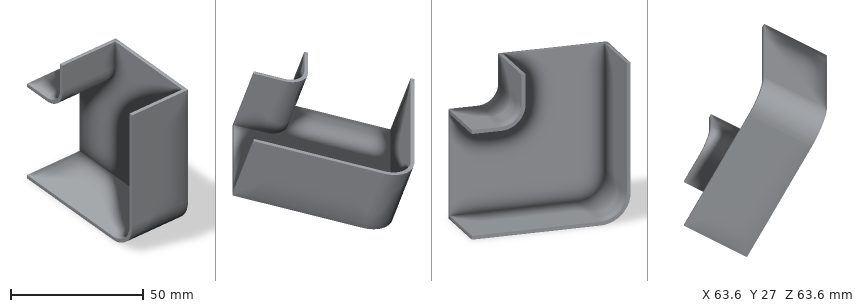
import cadquery as cq

side = 63.6
depth = 27.0
wall = 1.5
channel_width = 43.6
heel_radius = 12.0
throat_radius = 8.0

notch = side - channel_width


def elbow(inset, front_y, back_y):
    """L-shaped prism with rounded bend, its walls moved inward by inset; both arm ends stay put."""
    far = side - inset
    throat_x = notch + inset
    throat_z = side - notch - inset
    profile = (
        cq.Workplane("XZ", origin=(0, back_y, 0))
        .moveTo(0, inset)
        .lineTo(far, inset)
        .lineTo(far, side)
        .lineTo(throat_x, side)
        .lineTo(throat_x, throat_z)
        .lineTo(0, throat_z)
        .close()
    )
    prism = profile.extrude(back_y - front_y)
    heel_edge = cq.selectors.NearestToPointSelector((far, (front_y + back_y) / 2, inset))
    throat_edge = cq.selectors.NearestToPointSelector((throat_x, (front_y + back_y) / 2, throat_z))
    prism = prism.edges("|Y").edges(heel_edge).fillet(heel_radius - inset)
    return prism.edges("|Y").edges(throat_edge).fillet(throat_radius + inset)


body = elbow(0, 0, depth)
cavity = elbow(wall, 0, depth - wall)
result = body.cut(cavity)